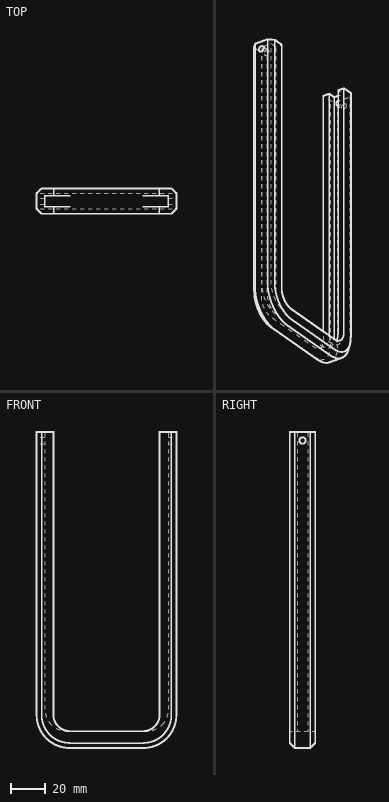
import cadquery as cq

WIDTH = 82.0
DEPTH = 15.0
HEIGHT = 185.0
WALL = 10.0
INNER_RADIUS = 9.525
EDGE_CHAMFER = 3.0
GROOVE_DEPTH = 5.0
GROOVE_WIDTH = 6.35
GROOVE_RADIUS = 12.7
HOLE_DIAMETER = 3.6
HOLE_DROP = 5.0

OUTER_RADIUS = INNER_RADIUS + WALL
GROOVE_SPAN = WIDTH - 2 * (WALL - GROOVE_DEPTH)
OPENING_SPAN = WIDTH - 2 * WALL


def round_bottom_slab(width, thickness, bottom, corner_radius):
    """Slab centred on X and Y, from bottom to the leg tops, with rounded lower corners."""
    height = HEIGHT - bottom
    return (
        cq.Workplane("XY")
        .box(width, thickness, height, centered=(True, True, False))
        .edges("|Y and <Z")
        .fillet(corner_radius)
        .translate((0, 0, bottom))
    )


def chamfered_body():
    """Outer block with the front and back rims chamfered along the legs, corners and base."""
    return (
        round_bottom_slab(WIDTH, DEPTH, 0, OUTER_RADIUS)
        .faces("<Y or >Y")
        .edges("not >Z")
        .chamfer(EDGE_CHAMFER)
    )


def cross_hole():
    """Cutter for the hole running along X through both leg tops."""
    return (
        cq.Workplane("YZ")
        .center(0, HEIGHT - HOLE_DROP)
        .circle(HOLE_DIAMETER / 2)
        .extrude(WIDTH / 2, both=True)
    )


opening = round_bottom_slab(OPENING_SPAN, DEPTH, WALL, INNER_RADIUS)
groove = round_bottom_slab(GROOVE_SPAN, GROOVE_WIDTH, WALL, GROOVE_RADIUS)

result = chamfered_body().cut(opening).cut(groove).cut(cross_hole())